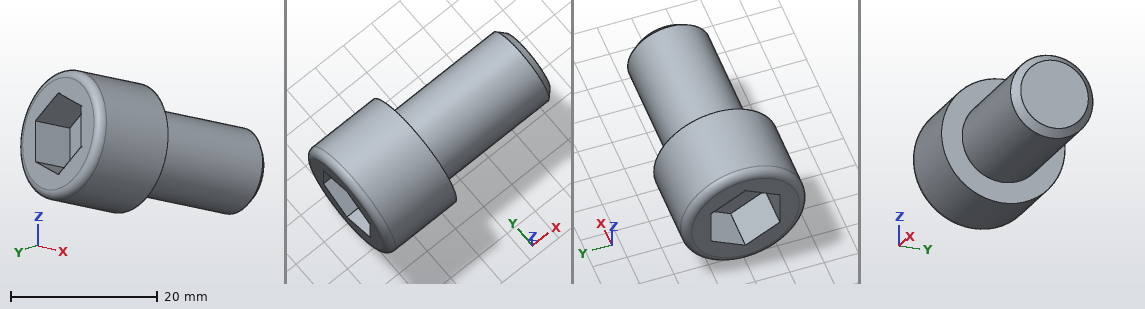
import cadquery as cq
import math

shank_diameter = 12.0
shank_length = 20.0
tip_diameter = 9.85
tip_chamfer = (shank_diameter - tip_diameter) / 2

head_diameter = 1.5 * shank_diameter
head_length = shank_diameter
head_edge_radius = shank_diameter / 10

socket_across_flats = 10.0
socket_across_corners = socket_across_flats / math.cos(math.radians(30))
socket_depth = head_length / 2


def make_head():
    """Cylindrical head with a rounded outer edge on its free end."""
    head = cq.Workplane("YZ").circle(head_diameter / 2).extrude(-head_length)
    return head.faces("<X").edges().fillet(head_edge_radius)


def make_shank():
    """Plain shank with a chamfered tip."""
    shank = cq.Workplane("YZ").circle(shank_diameter / 2).extrude(shank_length)
    return shank.faces(">X").edges().chamfer(tip_chamfer)


def make_socket():
    """Flat-bottomed hexagonal socket with two corners on the Z axis."""
    hexagon = (
        cq.Workplane("YZ", origin=(-head_length, 0, 0))
        .transformed(rotate=(0, 0, 90))
        .polygon(6, socket_across_corners)
    )
    return hexagon.extrude(socket_depth)


result = make_head().union(make_shank()).cut(make_socket())